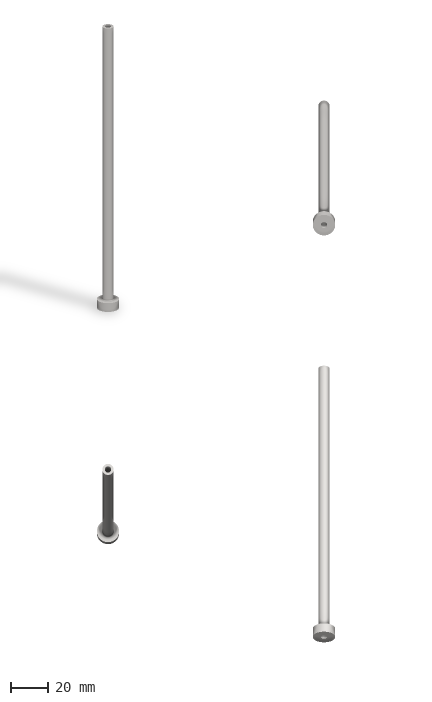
import cadquery as cq

total_length = 165.0
head_diameter = 12.0
head_height = 5.1
shaft_diameter = 6.1
bore_diameter = 3.5
neck_fillet = 0.5

head_radius = head_diameter / 2
shaft_radius = shaft_diameter / 2
bore_radius = bore_diameter / 2
fillet_top = head_height + neck_fillet

half_section = (
    cq.Workplane("XZ")
    .moveTo(bore_radius, 0)
    .lineTo(head_radius, 0)
    .lineTo(head_radius, head_height)
    .lineTo(shaft_radius + neck_fillet, head_height)
    .radiusArc((shaft_radius, fillet_top), neck_fillet)
    .lineTo(shaft_radius, total_length)
    .lineTo(bore_radius, total_length)
    .close()
)

result = half_section.revolve(360, (0, 0, 0), (0, 1, 0))